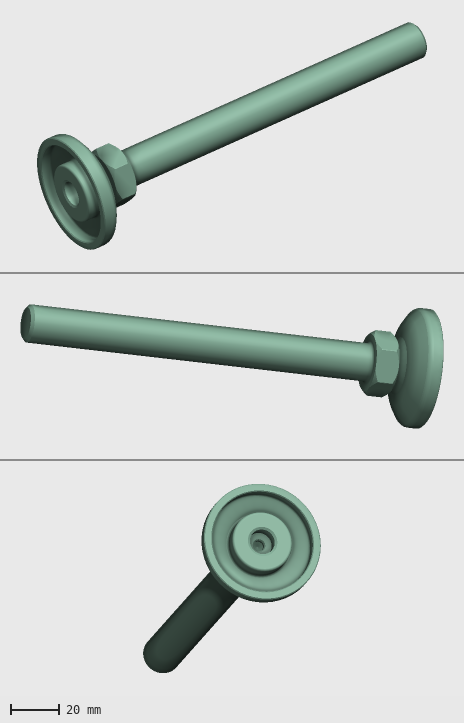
import cadquery as cq
import math


foot_radius = 25.0
rim_chamfer = 0.4
side_height = 4.3
edge_radius = 3.0
crown_radius = 20.5
blend_angle = math.radians(42)
cone_foot_radius = 12.0
cone_top_radius = 6.3
foot_height = 15.0

pocket_radius = 21.6
pocket_mouth_chamfer = 0.4
pocket_depth = 5.0
pocket_floor_slope = math.tan(math.radians(15))
pocket_fillet = 0.8
boss_radius = 12.8
boss_fillet = 1.0

pin_radius = 5.3
countersink_radius = 6.3
countersink_half_angle = math.radians(60)
countersink_depth = (countersink_radius - pin_radius) / math.tan(countersink_half_angle)
pin_end_height = 5.7
pin_end_slope = math.tan(math.radians(10))

centre_hole_radius = 2.2
centre_hole_depth = 2.0
centre_hole_chamfer = 0.5
drill_point_angle = math.radians(118)
drill_point_length = centre_hole_radius / math.tan(drill_point_angle / 2)

hex_across_flats = 24.0
hex_height = 10.0
hex_turn = 5.5
hex_corner_radius = 13.77
shaft_radius = 8.0
shaft_root_fillet = 1.0
tip_chamfer = 1.3
overall_length = 175.09


def revolve(profile):
    """Close a half profile and turn it about the Y axis."""
    return profile.close().revolve(360, (0, 0, 0), (0, 1, 0))


def arc_point(centre, radius, angle):
    """Point on a circle at an angle measured from +Y toward +X."""
    return centre[0] + radius * math.sin(angle), centre[1] + radius * math.cos(angle)


def make_foot_outside():
    edge_centre = (foot_radius - edge_radius, side_height)
    crown_centre = arc_point(edge_centre, edge_radius - crown_radius, blend_angle)
    crown_start_angle = math.asin((cone_foot_radius - crown_centre[0]) / crown_radius)
    edge_middle_angle = (math.pi / 2 + blend_angle) / 2
    crown_middle_angle = (blend_angle + crown_start_angle) / 2
    return revolve(
        cq.Workplane("XY")
        .lineTo(foot_radius - rim_chamfer, 0)
        .lineTo(foot_radius, rim_chamfer)
        .lineTo(foot_radius, side_height)
        .threePointArc(
            arc_point(edge_centre, edge_radius, edge_middle_angle),
            arc_point(edge_centre, edge_radius, blend_angle),
        )
        .threePointArc(
            arc_point(crown_centre, crown_radius, crown_middle_angle),
            arc_point(crown_centre, crown_radius, crown_start_angle),
        )
        .lineTo(cone_top_radius, foot_height)
        .lineTo(0, foot_height)
    )


def make_pocket():
    """Ring-shaped pocket whose sloping floor rises toward the boss."""
    floor_at_boss = pocket_depth + (pocket_radius - boss_radius) * pocket_floor_slope
    ring = revolve(
        cq.Workplane("XY")
        .moveTo(boss_radius, 0)
        .lineTo(pocket_radius + pocket_mouth_chamfer, 0)
        .lineTo(pocket_radius, pocket_mouth_chamfer)
        .lineTo(pocket_radius, pocket_depth)
        .lineTo(boss_radius, floor_at_boss)
    )
    floor_edges = ring.faces(">Y").edges()
    return floor_edges.fillet(pocket_fillet)


def make_pin_hole():
    return revolve(
        cq.Workplane("XY")
        .lineTo(countersink_radius, 0)
        .lineTo(pin_radius, countersink_depth)
        .lineTo(pin_radius, foot_height)
        .lineTo(0, foot_height)
    )


def make_foot():
    foot = make_foot_outside().cut(make_pocket())
    boss_rim = cq.selectors.RadiusNthSelector(0)
    foot = foot.faces("<Y").edges(boss_rim).fillet(boss_fillet)
    return foot.cut(make_pin_hole())


def make_hexagon():
    corner_radius = hex_across_flats / 2 / math.cos(math.pi / 6)
    prism = (
        cq.Workplane("XZ", origin=(0, foot_height, 0))
        .polygon(6, 2 * corner_radius)
        .extrude(-hex_height)
        .rotate((0, 0, 0), (0, 1, 0), hex_turn)
    )
    envelope = (
        cq.Workplane("XZ", origin=(0, foot_height, 0))
        .circle(hex_corner_radius)
        .extrude(-hex_height)
        .edges()
        .chamfer(hex_corner_radius - hex_across_flats / 2)
    )
    return prism.intersect(envelope)


def make_shaft():
    hex_top = foot_height + hex_height
    root_radius = shaft_radius + shaft_root_fillet
    return revolve(
        cq.Workplane("XY")
        .moveTo(0, hex_top)
        .lineTo(root_radius, hex_top)
        .radiusArc((shaft_radius, hex_top + shaft_root_fillet), shaft_root_fillet)
        .lineTo(shaft_radius, overall_length - tip_chamfer)
        .lineTo(shaft_radius - tip_chamfer, overall_length)
        .lineTo(0, overall_length)
    )


def make_pin():
    """Pin below the hexagon, with a shallow hollow end and a drilled centre hole."""
    mouth_radius = centre_hole_radius + centre_hole_chamfer
    mouth_height = pin_end_height + (pin_radius - mouth_radius) * pin_end_slope
    hole_end = mouth_height + centre_hole_depth
    return revolve(
        cq.Workplane("XY")
        .moveTo(pin_radius, foot_height)
        .lineTo(pin_radius, pin_end_height)
        .lineTo(mouth_radius, mouth_height)
        .lineTo(centre_hole_radius, mouth_height + centre_hole_chamfer)
        .lineTo(centre_hole_radius, hole_end)
        .lineTo(0, hole_end + drill_point_length)
        .lineTo(0, foot_height)
    )


def make_spindle():
    return make_hexagon().union(make_shaft()).union(make_pin())


foot = make_foot()
spindle = make_spindle()
result = cq.Compound.makeCompound([foot.val(), spindle.val()])